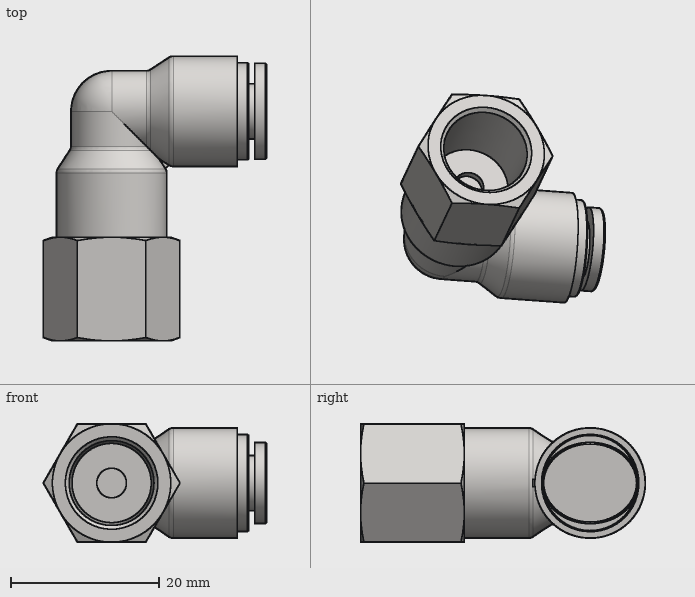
import cadquery as cq
import math

SLEEVE_DIAMETER = 14.9
NECK_DIAMETER = 11.0
NECK_LENGTH = 5.0
CONE_LENGTH = 3.0
BRANCH_LENGTH = 17.0
CONE_FILLET = 1.0

WEB_THICKNESS = 1.0
WEB_EDGE_OFFSET = 7.5
WEB_EDGE_OVERRUN = 0.58

HEX_ACROSS_FLATS = 16.0
HEX_LENGTH = 14.0
HEX_CHAMFER_ANGLE = 20.0
THREAD_DIAMETER = 11.45
THREAD_TAPER = 1 / 16
THREAD_DEPTH = 12.7
MOUTH_DIAMETER = 12.5
MOUTH_DEPTH = 0.55
PORT_DIAMETER = 4.0

COLLAR_DIAMETER = 13.15
COLLAR_LENGTH = 1.5
COLLAR_CHAMFER = 0.15
RING_NECK_DIAMETER = 7.5
RING_NECK_LENGTH = 0.8
FLANGE_WIDTH = 13.0
FLANGE_HEIGHT = 11.0
FLANGE_LENGTH = 1.65
FLANGE_CHAMFER = 0.23

COLLAR_END = BRANCH_LENGTH + COLLAR_LENGTH
RING_NECK_END = COLLAR_END + RING_NECK_LENGTH
HEX_END = BRANCH_LENGTH + HEX_LENGTH


def plane_across_x(x):
    """Plane facing +X whose local axes run along Y and Z."""
    return cq.Workplane("YZ", origin=(x, 0, 0))


def revolve_about_x(points):
    """Solid of revolution about X from (x, radius) points."""
    return cq.Workplane("XY").polyline(points).close().revolve(360, (0, 0, 0), (1, 0, 0))


def turn_to_minus_y(shape):
    """Turn a shape built along +X so that it lies along -Y."""
    return shape.rotate((0, 0, 0), (0, 0, 1), -90)


def make_branch():
    """Neck, filleted cone and sleeve along +X."""
    cone_end = NECK_LENGTH + CONE_LENGTH
    neck_radius = NECK_DIAMETER / 2
    sleeve_radius = SLEEVE_DIAMETER / 2
    branch = revolve_about_x([
        (0, 0),
        (0, neck_radius),
        (NECK_LENGTH, neck_radius),
        (cone_end, sleeve_radius),
        (BRANCH_LENGTH, sleeve_radius),
        (BRANCH_LENGTH, 0),
    ])
    return branch.faces("%CONE").edges("%CIRCLE").fillet(CONE_FILLET)


def make_web():
    """Triangular web whose outer edge crosses the inner corner at 45 degrees."""
    far = WEB_EDGE_OFFSET + WEB_EDGE_OVERRUN
    near = WEB_EDGE_OFFSET - WEB_EDGE_OVERRUN
    outline = cq.Workplane("XY").polyline([(0, 0), (near, -far), (far, -near)]).close()
    return outline.extrude(WEB_THICKNESS / 2, both=True)


def make_elbow():
    branch = make_branch()
    corner_ball = cq.Workplane("XY").sphere(NECK_DIAMETER / 2)
    return branch.union(turn_to_minus_y(branch)).union(corner_ball).union(make_web())


def make_hex_envelope():
    """Turned blank that cuts the conical chamfers on both ends of the hexagon."""
    corner_radius = HEX_ACROSS_FLATS / math.sqrt(3)
    flat_radius = HEX_ACROSS_FLATS / 2
    drop = (corner_radius - flat_radius) * math.tan(math.radians(HEX_CHAMFER_ANGLE))
    return revolve_about_x([
        (BRANCH_LENGTH, 0),
        (BRANCH_LENGTH, flat_radius),
        (BRANCH_LENGTH + drop, corner_radius),
        (HEX_END - drop, corner_radius),
        (HEX_END, flat_radius),
        (HEX_END, 0),
    ])


def make_connector_bore():
    """Port, tapered thread and mouth chamfer, with the mouth at the outer end."""
    thread_start = HEX_END - MOUTH_DEPTH
    thread_end = HEX_END - THREAD_DEPTH
    thread_end_diameter = THREAD_DIAMETER - (thread_start - thread_end) * THREAD_TAPER
    return revolve_about_x([
        (BRANCH_LENGTH, 0),
        (BRANCH_LENGTH, PORT_DIAMETER / 2),
        (thread_end, PORT_DIAMETER / 2),
        (thread_end, thread_end_diameter / 2),
        (thread_start, THREAD_DIAMETER / 2),
        (HEX_END, MOUTH_DIAMETER / 2),
        (HEX_END, 0),
    ])


def make_connector():
    across_corners = 2 * HEX_ACROSS_FLATS / math.sqrt(3)
    hexagon = plane_across_x(BRANCH_LENGTH).polygon(6, across_corners).extrude(HEX_LENGTH)
    connector = hexagon.intersect(make_hex_envelope()).cut(make_connector_bore())
    return turn_to_minus_y(connector)


def make_collar():
    collar = plane_across_x(BRANCH_LENGTH).circle(COLLAR_DIAMETER / 2).extrude(COLLAR_LENGTH)
    return collar.faces(">X").chamfer(COLLAR_CHAMFER)


def make_release_ring():
    """Round neck carrying an oval flange."""
    neck = plane_across_x(COLLAR_END).circle(RING_NECK_DIAMETER / 2).extrude(RING_NECK_LENGTH)
    oval = plane_across_x(RING_NECK_END).ellipse(FLANGE_WIDTH / 2, FLANGE_HEIGHT / 2)
    flange = oval.extrude(FLANGE_LENGTH).faces(">X").chamfer(FLANGE_CHAMFER)
    return neck.union(flange)


elbow = make_elbow()
connector = make_connector()
collar = make_collar()
release_ring = make_release_ring()

result = cq.Compound.makeCompound([
    elbow.val(),
    connector.val(),
    collar.val(),
    release_ring.val(),
])